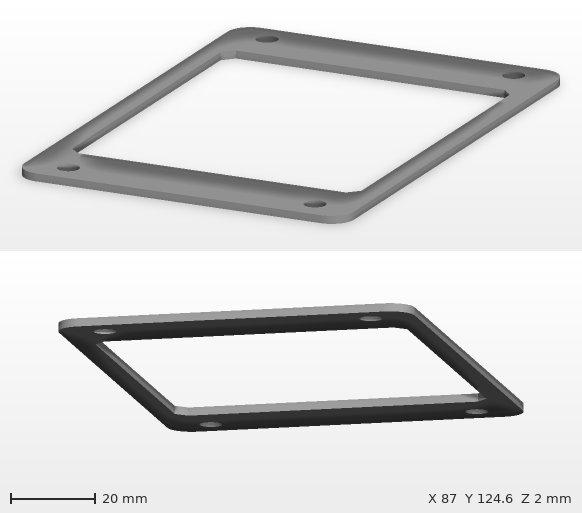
import cadquery as cq

width = 87.0
length = 124.6
thickness = 2.0
corner_radius = 6.0

window_width = 76.3
window_length = 87.7
window_chamfer = 2.7

hole_diameter = 5.5
hole_spacing_x = 65.0
hole_spacing_y = 110.0


def rounded_plate():
    plate = cq.Workplane("XY").box(width, length, thickness)
    return plate.edges("|Z").fillet(corner_radius)


def window_cutter():
    block = cq.Workplane("XY").box(window_width, window_length, 2 * thickness)
    return block.edges("|Z").chamfer(window_chamfer)


def drill_corner_holes(plate):
    centres = plate.faces(">Z").workplane(origin=(0, 0, 0))
    return centres.rect(hole_spacing_x, hole_spacing_y, forConstruction=True).vertices().hole(hole_diameter)


result = drill_corner_holes(rounded_plate()).cut(window_cutter())